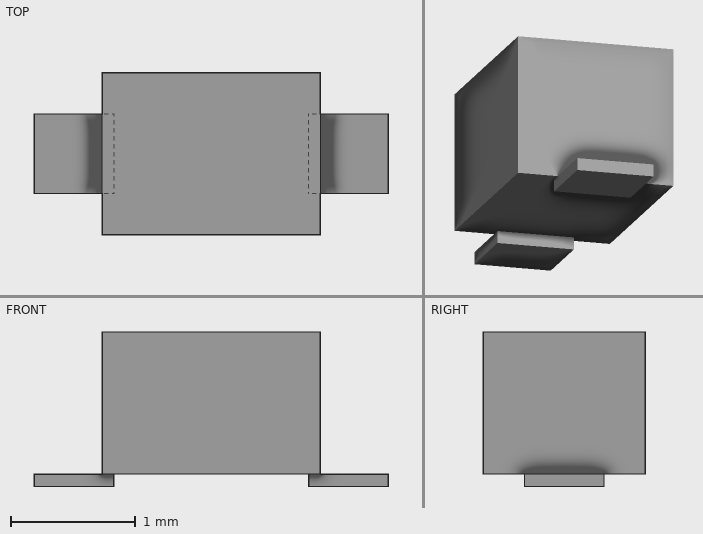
import cadquery as cq

overall_length = 2.84
overall_height = 1.24
housing_length = 1.75
housing_width = 1.30
lead_length = 0.64
lead_width = 0.64
lead_thickness = 0.10

housing_height = overall_height - lead_thickness
lead_center_x = (overall_length - lead_length) / 2


def make_housing():
    """Plain block that rests on top of both leads."""
    return (
        cq.Workplane("XY")
        .workplane(offset=lead_thickness)
        .rect(housing_length, housing_width)
        .extrude(housing_height)
    )


def make_lead(center_x):
    """Flat lead under one end of the housing, with its underside at Z = 0."""
    return (
        cq.Workplane("XY")
        .center(center_x, 0)
        .rect(lead_length, lead_width)
        .extrude(lead_thickness)
    )


housing = make_housing()
leads = [make_lead(side * lead_center_x) for side in (-1, 1)]

result = cq.Compound.makeCompound([housing.val(), *[lead.val() for lead in leads]])